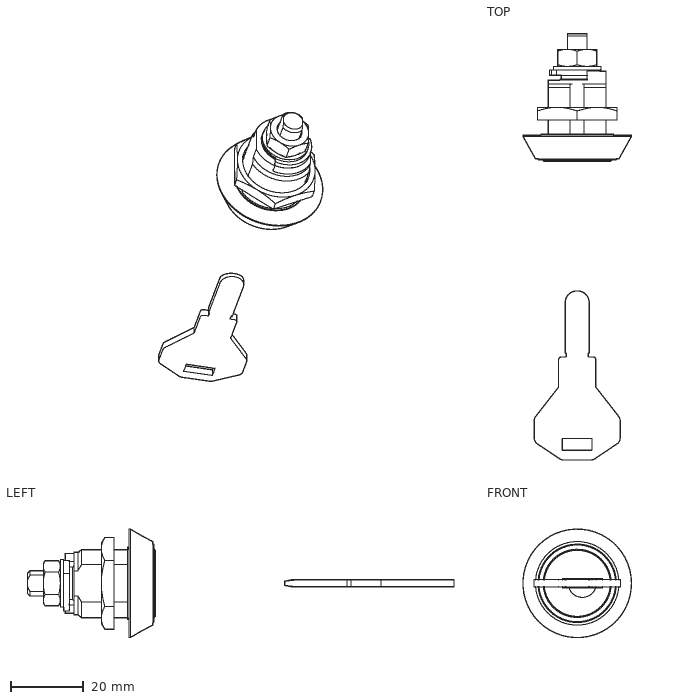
import cadquery as cq
import math


stud_end_y = 27.6
nut_rear_y = 23.3
nut_front_y = 18.6
washer_thickness = 0.9
stop_plate_thickness = 1.5
housing_rear_y = 14.8
ring_nut_front_y = 3.8
ring_nut_thickness = 3.5
rotor_face_y = -7.6

washer_front_y = nut_front_y - washer_thickness
stop_plate_front_y = washer_front_y - stop_plate_thickness

flange_diameter = 30.0
flange_radius = flange_diameter / 2
flange_rim_width = 0.4
cone_front_radius = 11.5
cone_front_y = -6.9
front_ring_radius = 10.8
front_ring_y = -7.3
front_ring_chamfer = 0.2
seat_lip_radius = 10.0
seat_lip_height = 0.4
barrel_radius = 9.5
barrel_flats = 16.0
neck_radius = 8.7
neck_length = 1.0
neck_bevel_length = 1.0
key_groove_width = 3.9
key_groove_floor_z = 8.6
bore_radius = 6.6
stop_wall_height = 2.5
stop_offset = 2.7

head_radius = 9.4
head_length = 2.9
head_chamfer = 0.29
shoulder_radius = 4.5
shoulder_bevel = 0.4
stud_radius = 3.5
stud_flats = 5.4
stud_chamfer = 0.7
scoop_radius = 3.9
scoop_depth = 3.9
dot_radius = 0.4
dot_depth = 0.4
dot_x = -7.0

shutter_length = 11.0
shutter_height = 2.7
shutter_depth = 2.9
keyway_x = 1.4

ring_nut_across_flats = 22.0
nut_across_flats = 10.8
chamfer_angle = 30
washer_radius = 6.6
stop_disc_radius = 6.3
stop_tab_radius = 7.6

key_tip_y = -43.3
key_length = 46.7
key_thickness = 2.0
blade_width = 6.7
blade_half_width = blade_width / 2
tip_bevel_radius = 4.1
tip_bevel_center = 6.0
tip_bevel_drop = 0.42
relief_start = 17.2
shoulder_start = 18.2
bow_start = 26.6
bow_wide_start = 35.2
bow_wide_end = 41.6
relief_half_width = 3.0
shoulder_half_width = 5.2
shoulder_corner_radius = 0.8
bow_half_width = 11.9
bow_end_half_width = 4.4
bow_corner_radius = 2.0
key_hole_width = 8.1
key_hole_height = 3.2
key_hole_center = 42.3


def turned(points):
    """Revolve a profile of (radius, y) points round the lock axis."""
    return cq.Workplane("XY").polyline(points).close().revolve(360, (0, 0, 0), (0, 1, 0))


def cylinder(radius, y_start, y_end):
    return turned([(0, y_start), (radius, y_start), (radius, y_end), (0, y_end)])


def box(x_range, y_range, z_range):
    """Block between the given (low, high) limits."""
    limits = (x_range, y_range, z_range)
    sizes = [high - low for low, high in limits]
    middle = tuple((low + high) / 2 for low, high in limits)
    return cq.Workplane("XY").box(*sizes).translate(middle)


def hex_prism(across_flats, y_start, y_end):
    """Hexagon along Y with flats on +X and -X and corners on +Z and -Z."""
    corner_radius = across_flats / 2 / math.cos(math.pi / 6)
    angles = [math.radians(30 + 60 * i) for i in range(6)]
    corners = [(corner_radius * math.cos(a), corner_radius * math.sin(a)) for a in angles]
    prism = cq.Workplane("XZ").polyline(corners).close().extrude(y_start - y_end)
    return prism.translate((0, y_start, 0))


def make_hex_nut(across_flats, y_start, y_end, hole_radius, chamfer_both_ends):
    """Hexagon nut with its corners turned off at the rear end, or at both ends."""
    flat_radius = across_flats / 2
    outer_radius = flat_radius / math.cos(math.pi / 6)
    drop = (outer_radius - flat_radius) * math.tan(math.radians(chamfer_angle))
    if chamfer_both_ends:
        envelope = [(0, y_start), (flat_radius, y_start), (outer_radius, y_start + drop)]
    else:
        envelope = [(0, y_start), (outer_radius, y_start)]
    envelope += [(outer_radius, y_end - drop), (flat_radius, y_end), (0, y_end)]
    nut = hex_prism(across_flats, y_start, y_end).intersect(turned(envelope))
    return nut.cut(cylinder(hole_radius, y_start, y_end))


def make_housing():
    neck_front_y = housing_rear_y - neck_length
    bevel_front_y = neck_front_y - neck_bevel_length
    flange_back_y = -seat_lip_height
    reach = 2 * flange_radius
    flange = turned([
        (0, front_ring_y), (front_ring_radius - front_ring_chamfer, front_ring_y),
        (front_ring_radius, front_ring_y + front_ring_chamfer), (front_ring_radius, cone_front_y),
        (cone_front_radius, cone_front_y), (flange_radius, flange_back_y - flange_rim_width),
        (flange_radius, flange_back_y), (seat_lip_radius, flange_back_y), (seat_lip_radius, 0), (0, 0),
    ])
    barrel = turned([
        (0, 0), (barrel_radius, 0), (barrel_radius, bevel_front_y), (neck_radius, neck_front_y),
        (neck_radius, housing_rear_y), (0, housing_rear_y),
    ])
    wall_end_y = housing_rear_y + stop_wall_height
    wall = cylinder(neck_radius, housing_rear_y, wall_end_y)
    wall = wall.intersect(box((stop_offset, reach), (housing_rear_y, wall_end_y), (-reach, reach)))
    barrel = barrel.union(wall)
    barrel = barrel.intersect(
        box((-barrel_flats / 2, barrel_flats / 2), (0, wall_end_y), (-reach, reach))
    )
    groove_sides = (-key_groove_width / 2, key_groove_width / 2)
    barrel = barrel.cut(box(groove_sides, (0, housing_rear_y), (key_groove_floor_z, reach)))
    housing = flange.union(barrel)
    housing = housing.cut(cylinder(head_radius, front_ring_y, rotor_face_y + head_length))
    return housing.cut(cylinder(bore_radius, front_ring_y, wall_end_y))


def make_rotor():
    head_rear_y = rotor_face_y + head_length
    body = turned([
        (0, rotor_face_y), (head_radius - head_chamfer, rotor_face_y),
        (head_radius, rotor_face_y + head_chamfer), (head_radius, head_rear_y),
        (bore_radius, head_rear_y), (bore_radius, housing_rear_y),
        (shoulder_radius + shoulder_bevel, housing_rear_y),
        (shoulder_radius, housing_rear_y + shoulder_bevel),
        (shoulder_radius, stop_plate_front_y), (0, stop_plate_front_y),
    ])
    stud = turned([
        (0, stop_plate_front_y), (stud_radius, stop_plate_front_y),
        (stud_radius, stud_end_y - stud_chamfer), (stud_radius - stud_chamfer, stud_end_y),
        (0, stud_end_y),
    ])
    stud = stud.intersect(stud_envelope(stop_plate_front_y, stud_end_y))
    rotor = body.union(stud)
    rotor = rotor.cut(make_shutter())
    scoop = turned([
        (0, rotor_face_y), (scoop_radius, rotor_face_y), (0, rotor_face_y + scoop_depth),
    ])
    lower_half = box(
        (-scoop_radius, scoop_radius), (rotor_face_y, rotor_face_y + scoop_depth),
        (-scoop_radius, -shutter_height / 2),
    )
    rotor = rotor.cut(scoop.intersect(lower_half).translate((keyway_x, 0, 0)))
    dot = cylinder(dot_radius, rotor_face_y, rotor_face_y + dot_depth).translate((dot_x, 0, 0))
    return rotor.cut(dot)


def stud_envelope(y_start, y_end):
    """Block between the two flats of the stud."""
    return box((-stud_flats / 2, stud_flats / 2), (y_start, y_end), (-stud_radius, stud_radius))


def make_shutter():
    return box(
        (keyway_x - shutter_length / 2, keyway_x + shutter_length / 2),
        (rotor_face_y, rotor_face_y + shutter_depth),
        (-shutter_height / 2, shutter_height / 2),
    )


def make_ring_nut():
    return make_hex_nut(
        ring_nut_across_flats, ring_nut_front_y, ring_nut_front_y + ring_nut_thickness,
        barrel_radius, chamfer_both_ends=False,
    )


def make_stud_nut():
    return make_hex_nut(nut_across_flats, nut_front_y, nut_rear_y, stud_radius, chamfer_both_ends=True)


def make_washer():
    washer = cylinder(washer_radius, washer_front_y, nut_front_y)
    return washer.cut(cylinder(stud_radius, washer_front_y, nut_front_y))


def make_stop_plate():
    """Disc with a wide tab whose two edges meet the stop faces a quarter turn apart."""
    span = (stop_plate_front_y, washer_front_y)
    tab_corner = (-stop_tab_radius, stop_offset)
    tab = cylinder(stop_tab_radius, *span).intersect(box(tab_corner, span, tab_corner))
    plate = cylinder(stop_disc_radius, *span).union(tab)
    stud_hole = cylinder(stud_radius, *span).intersect(stud_envelope(*span))
    return plate.cut(stud_hole)


def make_key():
    """Flat key, built with its tip at the origin and pointing to +Y."""
    half_thickness = key_thickness / 2
    blade = (
        cq.Workplane("XY")
        .moveTo(-blade_half_width, -blade_half_width)
        .threePointArc((0, 0), (blade_half_width, -blade_half_width))
        .lineTo(blade_half_width, -relief_start)
        .lineTo(relief_half_width, -relief_start)
        .lineTo(relief_half_width, -shoulder_start)
        .lineTo(-relief_half_width, -shoulder_start)
        .lineTo(-relief_half_width, -relief_start)
        .lineTo(-blade_half_width, -relief_start)
        .close()
        .extrude(half_thickness, both=True)
    )
    edge_z = half_thickness - tip_bevel_drop
    tip_envelope = (
        cq.Workplane("XZ")
        .polyline([
            (0, -half_thickness), (tip_bevel_radius, -half_thickness), (tip_bevel_center, -edge_z),
            (tip_bevel_center, edge_z), (tip_bevel_radius, half_thickness), (0, half_thickness),
        ])
        .close()
        .revolve(360, (0, 0, 0), (0, 1, 0))
        .translate((0, -tip_bevel_center, 0))
    )
    blade_back = box(
        (-blade_half_width, blade_half_width), (-shoulder_start, -tip_bevel_center),
        (-half_thickness, half_thickness),
    )
    blade = blade.intersect(tip_envelope.union(blade_back))

    right_side = [
        (shoulder_half_width, -shoulder_start), (shoulder_half_width, -bow_start),
        (bow_half_width, -bow_wide_start), (bow_half_width, -bow_wide_end),
        (bow_end_half_width, -key_length),
    ]
    left_side = [(-x, y) for x, y in reversed(right_side)]
    bow = (
        cq.Workplane("XY").polyline(right_side + left_side).close()
        .extrude(half_thickness, both=True)
    )
    bow = bow.edges("|Z").edges("<Y or >X or <X").fillet(bow_corner_radius)
    bow = bow.faces(">Y").edges("|Z").fillet(shoulder_corner_radius)

    hole = box(
        (-key_hole_width / 2, key_hole_width / 2),
        (-key_hole_center - key_hole_height / 2, -key_hole_center + key_hole_height / 2),
        (-half_thickness, half_thickness),
    )
    return blade.union(bow).cut(hole).translate((0, key_tip_y, 0))


housing = make_housing()
rotor = make_rotor()
shutter = make_shutter()
ring_nut = make_ring_nut()
stop_plate = make_stop_plate()
washer = make_washer()
stud_nut = make_stud_nut()
key = make_key()

result = cq.Compound.makeCompound([
    housing.val(), rotor.val(), shutter.val(), ring_nut.val(),
    stop_plate.val(), washer.val(), stud_nut.val(), key.val(),
])